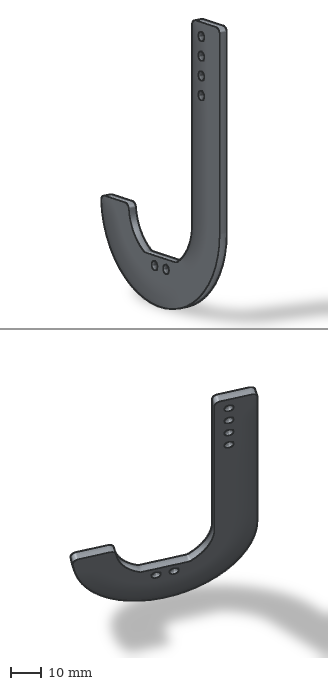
import cadquery as cq
import math

thickness = 3.0
total_height = 101.5
outer_radius = 31.5
band_width = 14.7
corner_radius = 2.0
tip_rise = 0.2
seat_depth = 14.5

hole_diameter = 3.1
shank_hole_count = 4
shank_hole_pitch = 6.7
shank_hole_top_gap = 4.9
shank_hole_edge_gap = 9.7
seat_hole_spacing = 6.1
seat_hole_depth = 18.0

inner_radius = outer_radius - band_width
shank_top = total_height - outer_radius
seat_half_width = math.sqrt(inner_radius**2 - seat_depth**2)
arc_mid_angle = math.atan2(seat_depth, seat_half_width) / 2
arc_mid_x = inner_radius * math.cos(arc_mid_angle)
arc_mid_z = -inner_radius * math.sin(arc_mid_angle)


def hook_plate():
    """Extruded J outline, with its flat seat and rounded free ends."""
    plate = (
        cq.Workplane("XZ")
        .moveTo(outer_radius, shank_top)
        .lineTo(outer_radius, 0)
        .threePointArc((0, -outer_radius), (-outer_radius, 0))
        .lineTo(-outer_radius, tip_rise)
        .lineTo(-inner_radius, tip_rise)
        .lineTo(-inner_radius, 0)
        .threePointArc((-arc_mid_x, arc_mid_z), (-seat_half_width, -seat_depth))
        .lineTo(seat_half_width, -seat_depth)
        .threePointArc((arc_mid_x, arc_mid_z), (inner_radius, 0))
        .lineTo(inner_radius, shank_top)
        .close()
        .extrude(thickness / 2, both=True)
    )
    shank_corners = plate.faces(">Z").edges("|Y")
    tip_corners = plate.faces("+Z").faces("<X").edges("|Y")
    seat_corners = plate.faces("+Z").faces("<Z").edges("|Y")
    corners = shank_corners.vals() + tip_corners.vals() + seat_corners.vals()
    return plate.newObject(corners).fillet(corner_radius)


def hole_centres():
    """X, Z centres of the shank row and the pair below the seat."""
    shank_x = outer_radius - shank_hole_edge_gap
    first_z = shank_top - shank_hole_top_gap
    shank = [(shank_x, first_z - i * shank_hole_pitch) for i in range(shank_hole_count)]
    seat = [(side * seat_hole_spacing / 2, -seat_hole_depth) for side in (-1, 1)]
    return shank + seat


holes = (
    cq.Workplane("XZ")
    .pushPoints(hole_centres())
    .circle(hole_diameter / 2)
    .extrude(thickness, both=True)
)

result = hook_plate().cut(holes)